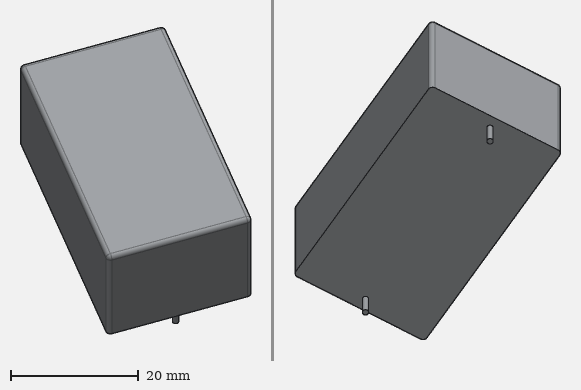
import cadquery as cq

case_length = 41.5
case_width = 24.0
case_height = 19.0
edge_radius = 0.75

total_height = 22.8
pin_length = total_height - case_height
pin_diameter = 1.0
pin_spacing = 37.55


def make_case():
    """Box with rounded vertical and top edges; its flat underside lies at Z = 0."""
    block = cq.Workplane("XY").box(case_length, case_width, case_height, centered=(True, True, False))
    return block.edges("|Z or >Z").fillet(edge_radius)


def make_pin(x):
    """Round lead hanging from the underside of the case at the given X position."""
    return cq.Workplane("XY").center(x, 0).circle(pin_diameter / 2).extrude(-pin_length)


case = make_case()
pins = [make_pin(side * pin_spacing / 2) for side in (-1, 1)]

result = cq.Compound.makeCompound([case.val(), *[pin.val() for pin in pins]])